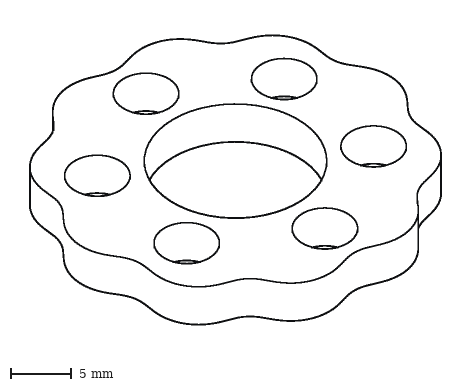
import cadquery as cq
import math

lobe_count = 10
ring_pin_count = lobe_count + 1
tip_radius = 16.95
ring_pin_radius = 1.75
eccentricity = 0.7
ring_radius = tip_radius + ring_pin_radius - eccentricity

thickness = 4.0
bore_diameter = 15.0

output_hole_count = 6
output_hole_diameter = 5.4
output_hole_circle_radius = 11.52

points_per_lobe = 24


def cycloid_point(angle):
    """Point on the disc edge: an epitrochoid offset inward by the ring pin radius."""
    lobe_angle = lobe_count * angle
    contact_angle = math.atan2(
        math.sin(lobe_angle),
        ring_radius / (eccentricity * ring_pin_count) - math.cos(lobe_angle),
    )
    normal_angle = angle - contact_angle
    x = (
        ring_radius * math.cos(angle)
        - ring_pin_radius * math.cos(normal_angle)
        - eccentricity * math.cos(ring_pin_count * angle)
    )
    y = (
        ring_radius * math.sin(angle)
        - ring_pin_radius * math.sin(normal_angle)
        - eccentricity * math.sin(ring_pin_count * angle)
    )
    return x, y


point_count = lobe_count * points_per_lobe
edge_points = [cycloid_point(2 * math.pi * i / point_count) for i in range(point_count)]
disc = cq.Workplane("XY").spline(edge_points, periodic=True).close().extrude(thickness)

bore = cq.Workplane("XY").circle(bore_diameter / 2).extrude(thickness)

output_holes = (
    cq.Workplane("XY")
    .polarArray(output_hole_circle_radius, 0, 360, output_hole_count)
    .circle(output_hole_diameter / 2)
    .extrude(thickness)
)

result = disc.cut(bore).cut(output_holes)